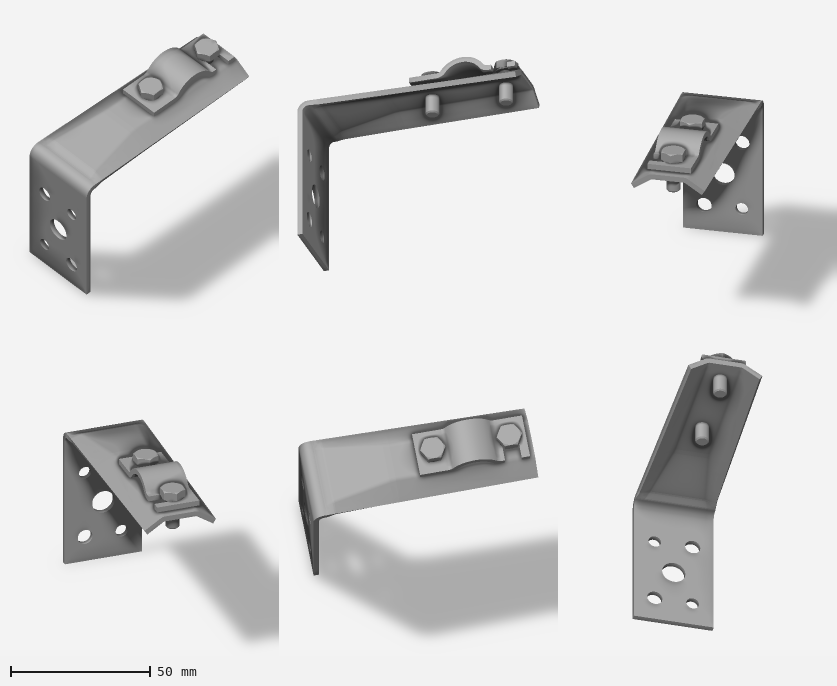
import cadquery as cq
import math


SHEET_THICKNESS = 1.5
LINER_THICKNESS = 0.5
STACK_THICKNESS = SHEET_THICKNESS + LINER_THICKNESS
LEG_WIDTH = 29.5
ARM_LENGTH = 82.3
FLAT_TOP = 53.9
LEG_BEND_RADIUS = 4.0

CREST_TOP = 57.2
CREST_HALF_WIDTH = 6.75
CREST_BEND_RADIUS = 3.45
SMALLEST_BEND_TANGENT = 0.2
FREE_END_HALF_WIDTH = 13.7
FREE_END_EDGE_DROP = 1.15

RIDGE_FOOT = (5.0, FLAT_TOP, 11.3, 0.25)
RIDGE_KNEE = (8.0, 55.1, 10.5, 0.3)
RIDGE_SHOULDER = (30.4, CREST_TOP, CREST_HALF_WIDTH, 1.15)
RIDGE_END = (ARM_LENGTH, CREST_TOP, CREST_HALF_WIDTH, 0.0)
RIDGE_CORNERS = [RIDGE_FOOT, RIDGE_KNEE, RIDGE_SHOULDER, RIDGE_END]
RIDGE_START = RIDGE_FOOT[0] - RIDGE_FOOT[3]

HOLE_CENTRE_HEIGHT = 22.7
CENTRE_HOLE_DIAMETER = 8.55
LARGE_HOLE_DIAMETER = 5.6
SMALL_HOLE_DIAMETER = 4.6
HOLE_OFFSET_X = 7.0
HOLE_OFFSET_Z = 13.0

CLAMP_CENTRE_Y = 60.2
CLAMP_LENGTH = 40.15
CLAMP_WIDTH = 16.1
CLAMP_THICKNESS = 2.0
CLAMP_TOP = 65.2
CLAMP_FLAT_TOP = 60.2
ARCH_RADIUS = 9.95
ARCH_FOOT_RADIUS = 2.0
SLOT_WIDTH = 6.1

BOLT_SPACING = 28.0
SHANK_DIAMETER = 5.0
SHANK_BOTTOM = 48.1
SHANK_CHAMFER = 0.5
HEAD_ACROSS_FLATS = 8.1
HEAD_CROWN_DIAMETER = 7.9
HEAD_TOP = 63.85
HEAD_CHAMFER_ANGLE = 30.0
WASHER_FACE_DIAMETER = 7.9
WASHER_FACE_HEIGHT = 0.5
BOLT_PLACES_Y = [CLAMP_CENTRE_Y - BOLT_SPACING / 2, CLAMP_CENTRE_Y + BOLT_SPACING / 2]


def cylinder_z(x, y, diameter, bottom, top):
    return cq.Workplane("XY", origin=(x, y, bottom)).circle(diameter / 2).extrude(top - bottom)


def between(start, end, share):
    return start + (end - start) * share


def ridge_stations():
    """The y places of the cross sections: both ends of every bend along the ridge."""
    stations = []
    for y, _, _, half_bend in RIDGE_CORNERS[:-1]:
        stations += [y - half_bend, y + half_bend]
    return stations + [ARM_LENGTH]


def crest_corner(y):
    """Half width and height of the theoretical corner between crest and flank at y."""
    foot_y, foot_height, foot_half_width, _ = RIDGE_FOOT
    if y <= foot_y:
        return foot_half_width, foot_height
    for near, far in zip(RIDGE_CORNERS, RIDGE_CORNERS[1:]):
        if y <= far[0]:
            share = (y - near[0]) / (far[0] - near[0])
            return between(near[2], far[2], share), between(near[1], far[1], share)


def half_skin(y, depth):
    """Corner points of the skin at a depth below the outer surface, from the middle outwards.

    Returns the start, the control point and the end of the crest bend, and the flank's edge.
    """
    corner_x, corner_z = crest_corner(y)
    share = (y - RIDGE_START) / (ARM_LENGTH - RIDGE_START)
    edge_x = between(LEG_WIDTH / 2, FREE_END_HALF_WIDTH, share)
    edge_z = FLAT_TOP - FREE_END_EDGE_DROP * share
    slope = math.atan2(corner_z - edge_z, edge_x - corner_x)
    along_x = math.cos(slope)
    along_z = -math.sin(slope)
    half_tan = math.tan(slope / 2)
    tangent = max((CREST_BEND_RADIUS - depth) * half_tan, SMALLEST_BEND_TANGENT)
    inner_x = corner_x - depth * half_tan
    inner_z = corner_z - depth
    return [
        (inner_x - tangent, inner_z),
        (inner_x, inner_z),
        (inner_x + tangent * along_x, inner_z + tangent * along_z),
        (edge_x + depth * along_z, edge_z - depth * along_x),
    ]


def skin_edges(y, depth):
    """Edges of the skin from the left flank's edge to the right one, and their two end points."""
    right = [cq.Vector(x, y, z) for x, z in half_skin(y, depth)]
    left = [cq.Vector(-x, y, z) for x, z in half_skin(y, depth)]
    edges = [
        cq.Edge.makeLine(left[3], left[2]),
        cq.Edge.makeBezier([left[2], left[1], left[0]]),
        cq.Edge.makeLine(left[0], right[0]),
        cq.Edge.makeBezier([right[0], right[1], right[2]]),
        cq.Edge.makeLine(right[2], right[3]),
    ]
    return edges, left[3], right[3]


def ridge_section(y, outer_depth, inner_depth):
    outer, outer_left, outer_right = skin_edges(y, outer_depth)
    inner, inner_left, inner_right = skin_edges(y, inner_depth)
    sides = [cq.Edge.makeLine(outer_left, inner_left), cq.Edge.makeLine(outer_right, inner_right)]
    return cq.Wire.assembleEdges([*outer, sides[1], *reversed(inner), sides[0]])


def ridge(outer_depth, inner_depth):
    sections = [ridge_section(y, outer_depth, inner_depth) for y in ridge_stations()]
    return cq.Workplane(cq.Solid.makeLoft(sections, True))


def bent_leg(outer_depth, inner_depth):
    """The leg, its bend and the flat strip up to the start of the ridge."""
    centre_y = LEG_BEND_RADIUS
    centre_z = FLAT_TOP - LEG_BEND_RADIUS
    outer_radius = LEG_BEND_RADIUS - outer_depth
    inner_radius = LEG_BEND_RADIUS - inner_depth
    diagonal = math.sqrt(0.5)
    return (
        cq.Workplane("YZ", origin=(-LEG_WIDTH / 2, 0, 0))
        .moveTo(outer_depth, 0)
        .lineTo(outer_depth, centre_z)
        .threePointArc(
            (centre_y - outer_radius * diagonal, centre_z + outer_radius * diagonal),
            (centre_y, FLAT_TOP - outer_depth),
        )
        .lineTo(RIDGE_START, FLAT_TOP - outer_depth)
        .lineTo(RIDGE_START, FLAT_TOP - inner_depth)
        .lineTo(centre_y, FLAT_TOP - inner_depth)
        .threePointArc(
            (centre_y - inner_radius * diagonal, centre_z + inner_radius * diagonal),
            (inner_depth, centre_z),
        )
        .lineTo(inner_depth, 0)
        .close()
        .extrude(LEG_WIDTH)
    )


def leg_holes():
    """Cutter for the centre hole and the two diagonal pairs of fixing holes."""
    places = [
        (0, 0, CENTRE_HOLE_DIAMETER),
        (-HOLE_OFFSET_X, HOLE_OFFSET_Z, LARGE_HOLE_DIAMETER),
        (HOLE_OFFSET_X, -HOLE_OFFSET_Z, LARGE_HOLE_DIAMETER),
        (HOLE_OFFSET_X, HOLE_OFFSET_Z, SMALL_HOLE_DIAMETER),
        (-HOLE_OFFSET_X, -HOLE_OFFSET_Z, SMALL_HOLE_DIAMETER),
    ]
    cutter = cq.Workplane("XZ")
    for x, z, diameter in places:
        hole = (
            cq.Workplane("XZ")
            .center(x, HOLE_CENTRE_HEIGHT + z)
            .circle(diameter / 2)
            .extrude(-STACK_THICKNESS)
        )
        cutter = cutter.union(hole)
    return cutter


def bracket_layer(outer_depth, inner_depth):
    """One sheet of the bracket, lying between two depths below the outer surface."""
    layer = bent_leg(outer_depth, inner_depth).union(ridge(outer_depth, inner_depth))
    layer = layer.cut(leg_holes())
    for y in BOLT_PLACES_Y:
        layer = layer.cut(cylinder_z(0, y, SHANK_DIAMETER, SHANK_BOTTOM, CREST_TOP))
    return layer


def clamp_profile():
    """Side outline of the clamp strip: two flat lugs joined by an arch."""
    arch_z = CLAMP_TOP - ARCH_RADIUS
    foot_z = CLAMP_FLAT_TOP + ARCH_FOOT_RADIUS
    foot_y = math.sqrt((ARCH_RADIUS + ARCH_FOOT_RADIUS) ** 2 - (foot_z - arch_z) ** 2)
    sweep = math.atan2(foot_y, foot_z - arch_z)
    arch_inner_radius = ARCH_RADIUS - CLAMP_THICKNESS
    foot_lower_radius = ARCH_FOOT_RADIUS + CLAMP_THICKNESS
    flat_bottom = CLAMP_FLAT_TOP - CLAMP_THICKNESS
    end_y = CLAMP_LENGTH / 2

    def on_arch(radius, side):
        return (side * radius * math.sin(sweep), arch_z + radius * math.cos(sweep))

    def on_foot(radius, side):
        return (side * (foot_y - radius * math.sin(sweep / 2)), foot_z - radius * math.cos(sweep / 2))

    return (
        cq.Workplane("YZ", origin=(-CLAMP_WIDTH / 2, CLAMP_CENTRE_Y, 0))
        .moveTo(-end_y, CLAMP_FLAT_TOP)
        .lineTo(-foot_y, CLAMP_FLAT_TOP)
        .threePointArc(on_foot(ARCH_FOOT_RADIUS, -1), on_arch(ARCH_RADIUS, -1))
        .threePointArc((0, CLAMP_TOP), on_arch(ARCH_RADIUS, 1))
        .threePointArc(on_foot(ARCH_FOOT_RADIUS, 1), (foot_y, CLAMP_FLAT_TOP))
        .lineTo(end_y, CLAMP_FLAT_TOP)
        .lineTo(end_y, flat_bottom)
        .lineTo(foot_y, flat_bottom)
        .threePointArc(on_foot(foot_lower_radius, 1), on_arch(arch_inner_radius, 1))
        .threePointArc((0, CLAMP_TOP - CLAMP_THICKNESS), on_arch(arch_inner_radius, -1))
        .threePointArc(on_foot(foot_lower_radius, -1), (-foot_y, flat_bottom))
        .lineTo(-end_y, flat_bottom)
        .close()
    )


def make_clamp():
    hole_y, slot_y = BOLT_PLACES_Y
    flat_bottom = CLAMP_FLAT_TOP - CLAMP_THICKNESS
    hole = cylinder_z(0, hole_y, SHANK_DIAMETER, flat_bottom, CLAMP_FLAT_TOP)
    slot_end = cylinder_z(0, slot_y, SLOT_WIDTH, flat_bottom, CLAMP_FLAT_TOP)
    slot_mouth = (
        cq.Workplane("XY", origin=(0, slot_y, flat_bottom))
        .box(CLAMP_WIDTH / 2, SLOT_WIDTH, CLAMP_THICKNESS, centered=(False, True, False))
    )
    return clamp_profile().extrude(CLAMP_WIDTH).cut(hole).cut(slot_end).cut(slot_mouth)


def make_bolt(y):
    head_bottom = CLAMP_FLAT_TOP + WASHER_FACE_HEIGHT
    corner_radius = HEAD_ACROSS_FLATS / math.sqrt(3)
    crown_drop = (corner_radius - HEAD_CROWN_DIAMETER / 2) * math.tan(math.radians(HEAD_CHAMFER_ANGLE))
    crown = (
        cq.Workplane("XZ")
        .moveTo(0, head_bottom)
        .lineTo(corner_radius, head_bottom)
        .lineTo(corner_radius, HEAD_TOP - crown_drop)
        .lineTo(HEAD_CROWN_DIAMETER / 2, HEAD_TOP)
        .lineTo(0, HEAD_TOP)
        .close()
        .revolve(360, (0, 0, 0), (0, 1, 0))
    )
    head = (
        cq.Workplane("XY", origin=(0, 0, head_bottom))
        .transformed(rotate=(0, 0, 90))
        .polygon(6, 2 * corner_radius)
        .extrude(HEAD_TOP - head_bottom)
        .intersect(crown)
    )
    washer_face = cylinder_z(0, 0, WASHER_FACE_DIAMETER, CLAMP_FLAT_TOP, head_bottom)
    shank = cylinder_z(0, 0, SHANK_DIAMETER, SHANK_BOTTOM, CLAMP_FLAT_TOP)
    shank = shank.faces("<Z").chamfer(SHANK_CHAMFER)
    return head.union(washer_face).union(shank).translate((0, y, 0))


bracket = bracket_layer(0, SHEET_THICKNESS)
liner = bracket_layer(SHEET_THICKNESS, STACK_THICKNESS)
clamp = make_clamp()
bolts = [make_bolt(y) for y in BOLT_PLACES_Y]

result = cq.Compound.makeCompound([bracket.val(), liner.val(), clamp.val(), *[b.val() for b in bolts]])